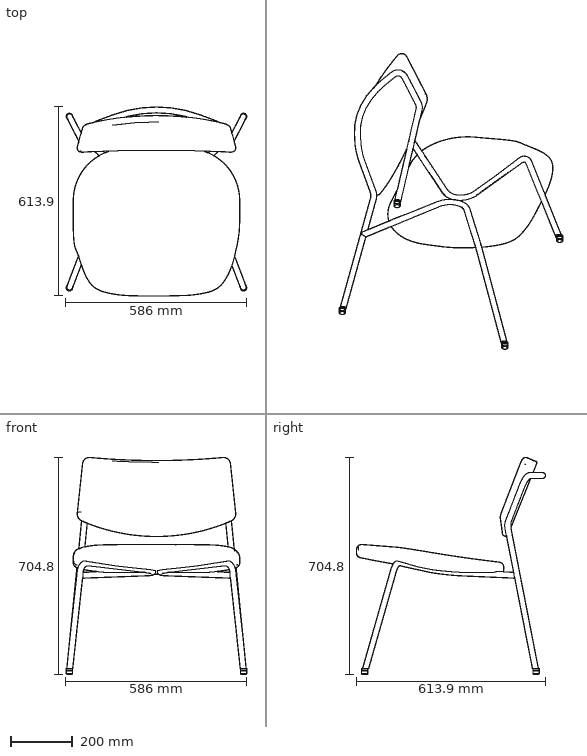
import cadquery as cq
import math

TUBE_DIAMETER = 20.0
FOOT_DIAMETER = 21.0
FOOT_HEIGHT = 20.0
FOOT_CHAMFER = 3.0
FOOT_GROOVE_WIDTH = 3.5
FOOT_GROOVE_DEPTH = 1.5
FOOT_GROOVE_HEIGHT = 12.0
FOOT_X = 282.5
REAR_FOOT_Y = 276.0
FRONT_FOOT_Y = -279.5

KNEE = (234.5, 182.5, 489.0)
KNEE_BEND_RADIUS = 53.0
RAIL_CORNER = (218.0, 243.0, 646.0)
RAIL_CORNER_BEND_RADIUS = 49.0
RAIL_PEAK_Y = 323.0
RAIL_BEND_RADIUS = 394.5

FRONT_LEG_TOP = (244.0, -178.0, 365.5)
FRONT_LEG_BEND_RADIUS = 32.5
STRETCHER_APEX = (-35.0, -28.0, 332.5)
STRETCHER_BEND_RADIUS = 63.5
STRETCHER_REAR_END = (249.5, 216.0, 322.0)

SEAT_HALF_WIDTH = 270.5
SEAT_BACK_Y = 172.0
SEAT_BACK_CORNER_RADIUS = 169.0
SEAT_SIDE_FRONT_Y = -63.5
SEAT_FRONT_CURVE = [(255.0, -172.0), (223.0, -253.5), (197.0, -282.0), (156.5, -297.0)]
SEAT_FRONT_Y = -306.5

SEAT_PROFILE_BACK = (SEAT_BACK_Y, 363.5)
SEAT_PROFILE_DIP = (70.5, 376.0)
SEAT_PROFILE_DIP_END = (-89.0, 401.0)
SEAT_PROFILE_BEND_START = (-137.0, 408.5)
SEAT_PROFILE_BEND_END = (-172.5, 413.5)
SEAT_PROFILE_FRONT = (-317.0, 425.0)
SEAT_TOP_FILLET = 17.5
SEAT_BOTTOM_FILLET = 15.0

BELLY_BOTTOM = (-63.5, 340.0)
BELLY_SPAN = 268.0
BELLY_DEPTH = 15.5
BELLY_TILT = 6.6

BACKREST_LEAN = 22.0
BACKREST_BOTTOM_Y = 163.5
BACKREST_BOTTOM_Z = 453.5
BACKREST_HEIGHT = 263.5
BACKREST_THICKNESS = 20.5
BACKREST_TOP_HALF_WIDTH = 238.0
BACKREST_BOTTOM_HALF_WIDTH = 259.0
BACKREST_BOTTOM_RISE = 51.0
BACKREST_TOP_SAG = 39.5
BACKREST_BOTTOM_SAG = 27.0
BACKREST_CORNER_RADIUS = 25.0
BACKREST_FRONT_FILLET = 10.0
BACKREST_BACK_FILLET = 5.5


def mirrored(point):
    return (-point[0], *point[1:])


def bent_tube(corners, bend_radii):
    """Round tube along a polyline whose inner corners are rounded to the given radii."""
    points = [cq.Vector(*corner) for corner in corners]
    edges = []
    start = points[0]
    for before, corner, after, radius in zip(points, points[1:], points[2:], bend_radii):
        back = (before - corner).normalized()
        ahead = (after - corner).normalized()
        half_angle = back.getAngle(ahead) / 2
        tangent_length = radius / math.tan(half_angle)
        center_distance = radius / math.sin(half_angle)
        bend_start = corner + back * tangent_length
        bend_end = corner + ahead * tangent_length
        bend_middle = corner + (back + ahead).normalized() * (center_distance - radius)
        edges.append(cq.Edge.makeLine(start, bend_start))
        edges.append(cq.Edge.makeThreePointArc(bend_start, bend_middle, bend_end))
        start = bend_end
    edges.append(cq.Edge.makeLine(start, points[-1]))

    path = cq.Workplane(cq.Wire.assembleEdges(edges))
    end_plane = cq.Plane(points[0], normal=points[1] - points[0])
    return cq.Workplane(end_plane).circle(TUBE_DIAMETER / 2).sweep(path)


def foot_space():
    """Slab of space under the leg ends, which only the feet fill."""
    size = 4 * FOOT_X
    return cq.Workplane().box(size, size, FOOT_HEIGHT * 2)


def make_foot(x, y):
    foot = cq.Workplane().center(x, y).circle(FOOT_DIAMETER / 2).extrude(FOOT_HEIGHT)
    foot = foot.faces("<Z").chamfer(FOOT_CHAMFER)
    groove = (
        cq.Workplane()
        .workplane(offset=FOOT_GROOVE_HEIGHT)
        .center(x, y)
        .circle(FOOT_DIAMETER / 2)
        .circle(FOOT_DIAMETER / 2 - FOOT_GROOVE_DEPTH)
        .extrude(FOOT_GROOVE_WIDTH)
    )
    return foot.cut(groove)


def make_rear_frame():
    """Both rear legs, the uprights behind the backrest and the curved rail that joins them."""
    rear_foot = (FOOT_X, REAR_FOOT_Y, FOOT_HEIGHT / 2)
    half = [rear_foot, KNEE, RAIL_CORNER]
    peak = (0, RAIL_PEAK_Y, RAIL_CORNER[2])
    corners = [*half, peak, *[mirrored(point) for point in reversed(half)]]
    half_bends = [KNEE_BEND_RADIUS, RAIL_CORNER_BEND_RADIUS]
    bends = [*half_bends, RAIL_BEND_RADIUS, *reversed(half_bends)]
    return bent_tube(corners, bends).cut(foot_space())


def make_side_frame(rear_frame):
    """Front leg and stretcher of the +X side, coped against the rear leg."""
    front_foot = (FOOT_X, FRONT_FOOT_Y, FOOT_HEIGHT / 2)
    corners = [front_foot, FRONT_LEG_TOP, STRETCHER_APEX, STRETCHER_REAR_END]
    bends = [FRONT_LEG_BEND_RADIUS, STRETCHER_BEND_RADIUS]
    return bent_tube(corners, bends).cut(foot_space()).cut(rear_frame)


def seat_outline():
    back_flat = SEAT_HALF_WIDTH - SEAT_BACK_CORNER_RADIUS
    back_corner_end = (SEAT_HALF_WIDTH, SEAT_BACK_Y - SEAT_BACK_CORNER_RADIUS)
    side_front = (SEAT_HALF_WIDTH, SEAT_SIDE_FRONT_Y)
    mirrored_curve = [mirrored(point) for point in reversed(SEAT_FRONT_CURVE)]
    front_curve = [*SEAT_FRONT_CURVE, (0, SEAT_FRONT_Y), *mirrored_curve, mirrored(side_front)]
    return (
        cq.Workplane()
        .moveTo(-back_flat, SEAT_BACK_Y)
        .lineTo(back_flat, SEAT_BACK_Y)
        .tangentArcPoint(back_corner_end, relative=False)
        .lineTo(*side_front)
        .spline(front_curve, tangents=[(0, -1), (0, 1)], includeCurrent=True)
        .lineTo(*mirrored(back_corner_end))
        .tangentArcPoint((-back_flat, SEAT_BACK_Y), relative=False)
        .close()
    )


def seat_top_space():
    """Everything below the side profile of the seat's top surface."""
    profile = (
        cq.Workplane("YZ")
        .moveTo(*SEAT_PROFILE_BACK)
        .threePointArc(SEAT_PROFILE_DIP, SEAT_PROFILE_DIP_END)
        .lineTo(*SEAT_PROFILE_BEND_START)
        .lineTo(*SEAT_PROFILE_BEND_END)
        .lineTo(*SEAT_PROFILE_FRONT)
        .lineTo(SEAT_PROFILE_FRONT[0], 0)
        .lineTo(SEAT_BACK_Y, 0)
        .close()
    )
    return profile.extrude(SEAT_HALF_WIDTH, both=True)


def seat_belly_space():
    """Large tilted sphere whose lowest part is the shallow belly of the seat."""
    radius = (BELLY_SPAN**2 + BELLY_DEPTH**2) / (2 * BELLY_DEPTH)
    tilt = math.radians(BELLY_TILT)
    bottom_y, bottom_z = BELLY_BOTTOM
    center = (0, bottom_y + radius * math.sin(tilt), bottom_z + radius * math.cos(tilt))
    ball = cq.Workplane().sphere(radius).rotate((0, 0, 0), (0, 1, 0), -90)
    return ball.translate(center)


def rim_edges(solid, facing):
    """Outer edges of the seat's upper (facing = 1) or lower (facing = -1) side."""
    steepest = 0.8
    faces = [face for face in solid.faces().vals() if face.normalAt().z * facing > steepest]
    edges = [edge for face in faces for edge in face.Edges()]
    return [edge for edge in edges if sum(edge.isSame(other) for other in edges) == 1]


def make_seat(frames):
    """Cushioned seat with grooves underneath where the frame tubes are let in."""
    blank = seat_outline().extrude(SEAT_PROFILE_FRONT[1])
    seat = blank.intersect(seat_top_space()).intersect(seat_belly_space())
    seat = seat.newObject(rim_edges(seat, 1)).fillet(SEAT_TOP_FILLET)
    seat = seat.newObject(rim_edges(seat, -1)).fillet(SEAT_BOTTOM_FILLET)
    for frame in frames:
        seat = seat.cut(frame)
    return seat


def make_backrest(rear_frame):
    """Bowed panel, leaned back and recessed where the uprights pass behind it."""
    def bow(workplane, half_width, sag):
        return (
            workplane.moveTo(-half_width, -sag)
            .threePointArc((0, 0), (half_width, -sag))
            .lineTo(half_width, BACKREST_THICKNESS - sag)
            .threePointArc((0, BACKREST_THICKNESS), (-half_width, BACKREST_THICKNESS - sag))
            .close()
        )

    half = BACKREST_BOTTOM_HALF_WIDTH
    sheet = bow(cq.Workplane(), half, BACKREST_BOTTOM_SAG)
    sheet = bow(sheet.workplane(offset=BACKREST_HEIGHT), half, BACKREST_TOP_SAG).loft(ruled=True)

    outline_reach = 141
    outline = (
        cq.Workplane("XZ")
        .moveTo(-BACKREST_TOP_HALF_WIDTH, BACKREST_HEIGHT)
        .lineTo(BACKREST_TOP_HALF_WIDTH, BACKREST_HEIGHT)
        .lineTo(BACKREST_BOTTOM_HALF_WIDTH, BACKREST_BOTTOM_RISE)
        .threePointArc((0, 0), (-BACKREST_BOTTOM_HALF_WIDTH, BACKREST_BOTTOM_RISE))
        .close()
        .extrude(outline_reach, both=True)
        .edges("|Y")
        .fillet(BACKREST_CORNER_RADIUS)
    )
    panel = sheet.intersect(outline)

    middle_z = BACKREST_HEIGHT / 2
    near_front = cq.selectors.NearestToPointSelector((0, -14, middle_z))
    near_back = cq.selectors.NearestToPointSelector((0, BACKREST_THICKNESS, middle_z))
    panel = panel.faces(near_front).edges().fillet(BACKREST_FRONT_FILLET)
    panel = panel.faces(near_back).edges().fillet(BACKREST_BACK_FILLET)

    panel = panel.rotate((0, 0, 0), (1, 0, 0), -BACKREST_LEAN)
    panel = panel.translate((0, BACKREST_BOTTOM_Y, BACKREST_BOTTOM_Z))
    return panel.cut(rear_frame)


rear_frame = make_rear_frame()
right_frame = make_side_frame(rear_frame)
left_frame = right_frame.mirror("YZ")
backrest = make_backrest(rear_frame)
seat = make_seat([rear_frame, right_frame, left_frame])
feet = [make_foot(x, y) for x in (-FOOT_X, FOOT_X) for y in (REAR_FOOT_Y, FRONT_FOOT_Y)]

result = cq.Compound.makeCompound(
    [
        rear_frame.val(),
        right_frame.val(),
        left_frame.val(),
        *backrest.solids().vals(),
        *seat.solids().vals(),
        *[foot.val() for foot in feet],
    ]
)